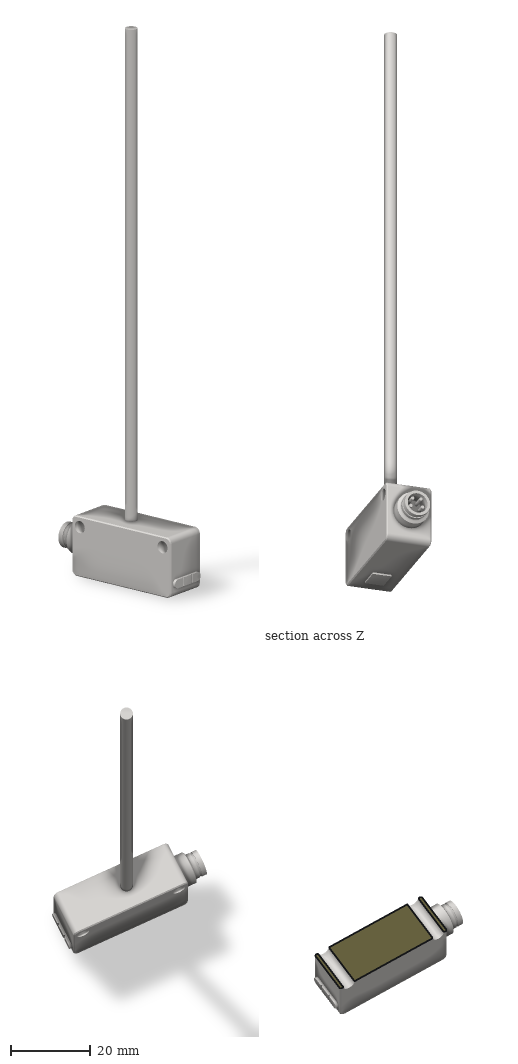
import cadquery as cq

HOUSING_LENGTH = 32.0
HOUSING_WIDTH = 12.0
HOUSING_HEIGHT = 16.0
CORNER_RADIUS = 1.5
EDGE_CHAMFER = 0.3

MOUNT_HOLE_DIAMETER = 3.2
MOUNT_HOLE_SPACING = 26.8
MOUNT_HOLE_DROP = 2.8

PAD_LENGTH = 6.1
PAD_WIDTH = 5.0
PAD_HEIGHT = 0.5
PAD_X = 7.9

BAR_LENGTH = 10.2
BAR_HEIGHT = 2.3
BAR_DEPTH = 0.7
BAR_Z = 3.7
BAR_GROOVE_WIDTH = 0.5
BAR_GROOVE_DEPTH = 0.3
BAR_GROOVE_Y = 1.8

COLLAR_DIAMETER = 8.5
COLLAR_LENGTH = 3.5
COLLAR_TAPER_LENGTH = 0.5
NOSE_DIAMETER = 6.7
NOSE_LENGTH = 3.0
RIM_GROOVE_DIAMETER = 6.3
RIM_GROOVE_LENGTH = 0.6
RIM_LENGTH = 1.3
SOCKET_DIAMETER = 5.3
SOCKET_DEPTH = 4.4
PIN_DIAMETER = 0.9
PIN_LENGTH = 3.8
UPPER_PIN_Y = 1.1
UPPER_PIN_RISE = 1.5
LOWER_PIN_Y = 1.54
LOWER_PIN_RISE = -0.66

ROD_DIAMETER = 3.2
ROD_X = -1.6
TOTAL_HEIGHT = 146.4

housing_end = HOUSING_LENGTH / 2
axis_z = HOUSING_HEIGHT / 2


def make_housing():
    block = cq.Workplane("XY").box(
        HOUSING_LENGTH, HOUSING_WIDTH, HOUSING_HEIGHT, centered=(True, True, False)
    )
    block = block.edges("|Y").fillet(CORNER_RADIUS)
    block = block.faces("<Y or >Y").edges().chamfer(EDGE_CHAMFER)
    holes = (
        cq.Workplane("XZ", origin=(0, 0, HOUSING_HEIGHT - MOUNT_HOLE_DROP))
        .pushPoints([(-MOUNT_HOLE_SPACING / 2, 0), (MOUNT_HOLE_SPACING / 2, 0)])
        .circle(MOUNT_HOLE_DIAMETER / 2)
        .extrude(HOUSING_WIDTH / 2, both=True)
    )
    return block.cut(holes).union(make_pad()).union(make_end_bar())


def make_pad():
    return cq.Workplane("XY", origin=(PAD_X, 0, 0)).rect(PAD_LENGTH, PAD_WIDTH).extrude(-PAD_HEIGHT)


def make_end_bar():
    bar = (
        cq.Workplane("YZ", origin=(housing_end, 0, BAR_Z))
        .slot2D(BAR_LENGTH, BAR_HEIGHT)
        .extrude(BAR_DEPTH)
    )
    grooves = (
        cq.Workplane("YZ", origin=(housing_end + BAR_DEPTH, 0, BAR_Z))
        .pushPoints([(-BAR_GROOVE_Y, 0), (BAR_GROOVE_Y, 0)])
        .rect(BAR_GROOVE_WIDTH, BAR_HEIGHT)
        .extrude(-BAR_GROOVE_DEPTH)
    )
    return bar.cut(grooves)


def connector_cylinder(diameter, start, length):
    """Cylinder on the connector axis, from `start` outside the housing end and running toward -X."""
    return (
        cq.Workplane("YZ", origin=(-housing_end - start, 0, axis_z))
        .circle(diameter / 2)
        .extrude(-length)
    )


def make_connector():
    connector_length = COLLAR_LENGTH + NOSE_LENGTH
    rim_groove_start = connector_length - RIM_LENGTH - RIM_GROOVE_LENGTH
    collar_taper_drop = (COLLAR_DIAMETER - NOSE_DIAMETER) / 2
    collar = connector_cylinder(COLLAR_DIAMETER, 0, COLLAR_LENGTH)
    collar = collar.faces("<X").edges().chamfer(COLLAR_TAPER_LENGTH, collar_taper_drop)
    nose = connector_cylinder(NOSE_DIAMETER, 0, connector_length)
    rim_groove = connector_cylinder(NOSE_DIAMETER, rim_groove_start, RIM_GROOVE_LENGTH).cut(
        connector_cylinder(RIM_GROOVE_DIAMETER, rim_groove_start, RIM_GROOVE_LENGTH)
    )
    body = collar.union(nose).cut(rim_groove)
    socket_floor = connector_length - SOCKET_DEPTH
    body = body.cut(connector_cylinder(SOCKET_DIAMETER, socket_floor, SOCKET_DEPTH))
    pins = (
        cq.Workplane("YZ", origin=(-housing_end - socket_floor, 0, axis_z))
        .pushPoints([
            (-UPPER_PIN_Y, UPPER_PIN_RISE),
            (UPPER_PIN_Y, UPPER_PIN_RISE),
            (-LOWER_PIN_Y, LOWER_PIN_RISE),
            (LOWER_PIN_Y, LOWER_PIN_RISE),
        ])
        .circle(PIN_DIAMETER / 2)
        .extrude(-PIN_LENGTH)
    )
    return body.union(pins)


def make_rod():
    rod_length = TOTAL_HEIGHT - PAD_HEIGHT - HOUSING_HEIGHT
    return (
        cq.Workplane("XY", origin=(ROD_X, 0, HOUSING_HEIGHT))
        .circle(ROD_DIAMETER / 2)
        .extrude(rod_length)
    )


housing = make_housing()
connector = make_connector()
rod = make_rod()

result = cq.Compound.makeCompound([housing.val(), connector.val(), rod.val()])